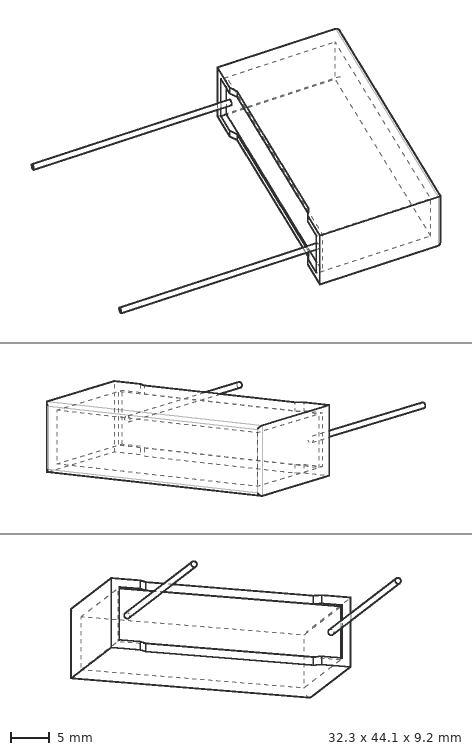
import cadquery as cq

total_length = 44.1
case_width = 32.3
case_height = 9.2
case_depth = 17.1

wall = 1.1
back_fillet = 0.5
notch_depth = 0.6
notch_mouth_width = 24.5
notch_floor_width = 22.6

fill_recess = 0.8
lead_diameter = 0.8
lead_spacing = 27.5
lead_length = total_length - case_depth + fill_recess

cavity_width = case_width - 2 * wall
cavity_height = case_height - 2 * wall
cavity_depth = case_depth - wall


def box_along_y(width, height, front, back):
    """Box centred on X and Z, running from Y = front to Y = back."""
    return cq.Workplane("XY").box(width, back - front, height).translate((0, (front + back) / 2, 0))


def make_notch():
    """Shallow trapezoid cut across both long walls at the open face."""
    return (
        cq.Workplane("XY")
        .moveTo(-notch_mouth_width / 2, 0)
        .lineTo(-notch_floor_width / 2, notch_depth)
        .lineTo(notch_floor_width / 2, notch_depth)
        .lineTo(notch_mouth_width / 2, 0)
        .close()
        .extrude(case_height / 2, both=True)
    )


def make_case():
    """Box with a rounded back edge, open toward -Y."""
    shell = box_along_y(case_width, case_height, 0, case_depth).faces(">Y").fillet(back_fillet)
    cavity = box_along_y(cavity_width, cavity_height, 0, cavity_depth)
    return shell.cut(cavity).cut(make_notch())


def make_fill():
    """Potting block filling the cavity up to just behind the open face."""
    return box_along_y(cavity_width, cavity_height, fill_recess, cavity_depth)


def make_lead(x):
    """Straight round wire standing on the front face of the potting block."""
    return (
        cq.Workplane("XZ", origin=(x, fill_recess, 0))
        .circle(lead_diameter / 2)
        .extrude(lead_length)
    )


case = make_case()
fill = make_fill()
leads = [make_lead(side * lead_spacing / 2) for side in (-1, 1)]

result = cq.Compound.makeCompound([case.val(), fill.val(), *[lead.val() for lead in leads]])